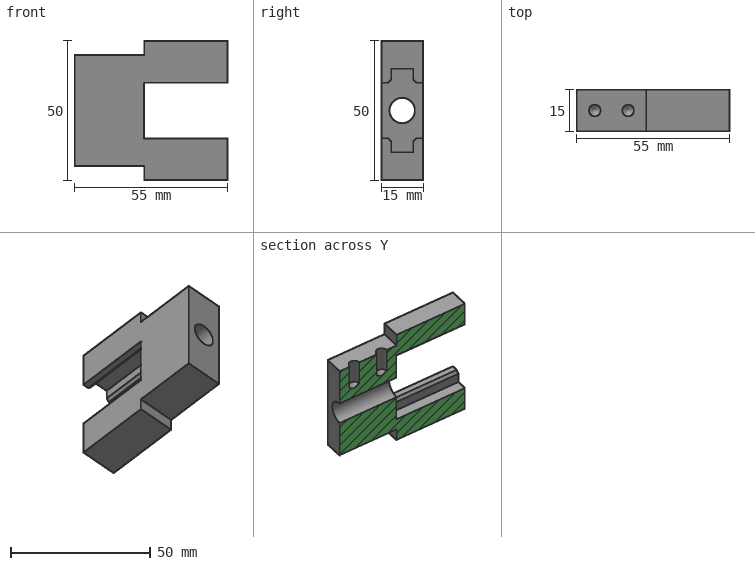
import cadquery as cq
import math

length = 55.0
width = 15.0
height = 50.0

body_height = 40.0
body_length = 24.95
arm_height = 15.0
arm_length = length - body_length
gap_height = height - 2 * arm_height

groove_width = 8.0
groove_depth = 5.0
groove_chamfer = 1.1

shaft_hole_diameter = 9.0

screw_hole_diameter = 4.2
screw_hole_depth = 10.0
screw_hole_first_x = 6.5
screw_hole_spacing = 12.0
screw_hole_count = 2
drill_point_angle = 118.0


def centred_block(x_start, x_size, z_size):
    """Full-width block centred on Y and Z, starting at x_start."""
    return (
        cq.Workplane("XY")
        .box(x_size, width, z_size, centered=(False, True, True))
        .translate((x_start, 0, 0))
    )


def make_fork():
    body = centred_block(0, body_length, body_height)
    arms = centred_block(body_length, arm_length, height)
    gap = centred_block(body_length, arm_length, gap_height)
    return body.union(arms.cut(gap))


def lower_groove():
    """Cutter for the lower arm: a channel with chamfered top edges."""
    half_width = groove_width / 2
    mouth_half_width = half_width + groove_chamfer
    rim_z = -gap_height / 2
    floor_z = rim_z - groove_depth
    wall_top_z = rim_z - groove_chamfer
    return (
        cq.Workplane("YZ", origin=(body_length, 0, 0))
        .moveTo(-half_width, floor_z)
        .lineTo(half_width, floor_z)
        .lineTo(half_width, wall_top_z)
        .lineTo(mouth_half_width, rim_z)
        .lineTo(-mouth_half_width, rim_z)
        .lineTo(-half_width, wall_top_z)
        .close()
        .extrude(arm_length)
    )


def shaft_hole():
    return cq.Workplane("YZ").circle(shaft_hole_diameter / 2).extrude(body_length)


def screw_hole(x):
    """Cutter for a blind hole with a conical drill point, opening on top of the body."""
    radius = screw_hole_diameter / 2
    point_depth = radius / math.tan(math.radians(drill_point_angle / 2))
    top_z = body_height / 2
    shoulder_z = top_z - screw_hole_depth
    return (
        cq.Workplane("XZ")
        .moveTo(0, top_z)
        .lineTo(radius, top_z)
        .lineTo(radius, shoulder_z)
        .lineTo(0, shoulder_z - point_depth)
        .close()
        .revolve(360, (0, 0, 0), (0, 1, 0))
        .translate((x, 0, 0))
    )


groove = lower_groove()
result = make_fork().cut(groove).cut(groove.mirror("XY")).cut(shaft_hole())
for index in range(screw_hole_count):
    result = result.cut(screw_hole(screw_hole_first_x + index * screw_hole_spacing))